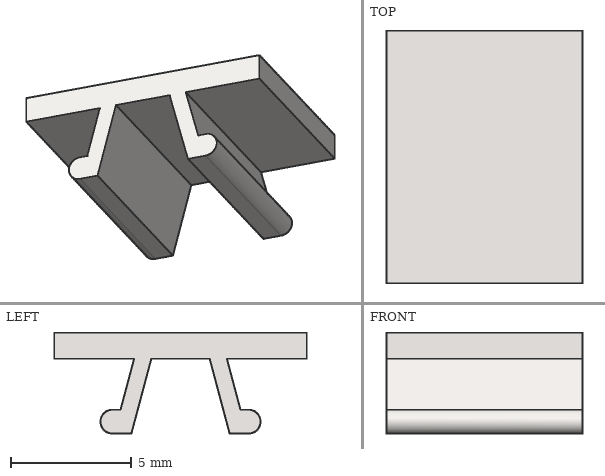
import cadquery as cq

length_x = 8.15
width_y = 10.5
height_z = 4.2

plate_thickness = 1.09
leg_root_inner = 1.21
leg_root_outer = 1.93
leg_foot_inner = 2.04
bead_reach = 3.33
bead_diameter = 1.0

bead_radius = bead_diameter / 2
plate_bottom = height_z - plate_thickness
bead_center_y = bead_reach - bead_radius

leg_slope = (leg_foot_inner - leg_root_inner) / plate_bottom
leg_outer_at_bead = leg_root_outer + leg_slope * (plate_bottom - bead_diameter)


def make_plate():
    return cq.Workplane("XY").box(length_x, width_y, plate_thickness, centered=(True, True, False)).translate(
        (0, 0, plate_bottom)
    )


def make_leg(side):
    """Sloped leg with a round-nosed bead at its foot; side is +1 or -1 along Y."""
    return (
        cq.Workplane("YZ")
        .moveTo(side * leg_root_inner, plate_bottom)
        .lineTo(side * leg_foot_inner, 0)
        .lineTo(side * bead_center_y, 0)
        .threePointArc((side * bead_reach, bead_radius), (side * bead_center_y, bead_diameter))
        .lineTo(side * leg_outer_at_bead, bead_diameter)
        .lineTo(side * leg_root_outer, plate_bottom)
        .close()
        .extrude(length_x / 2, both=True)
    )


result = make_plate()
for side in (-1, 1):
    result = result.union(make_leg(side))